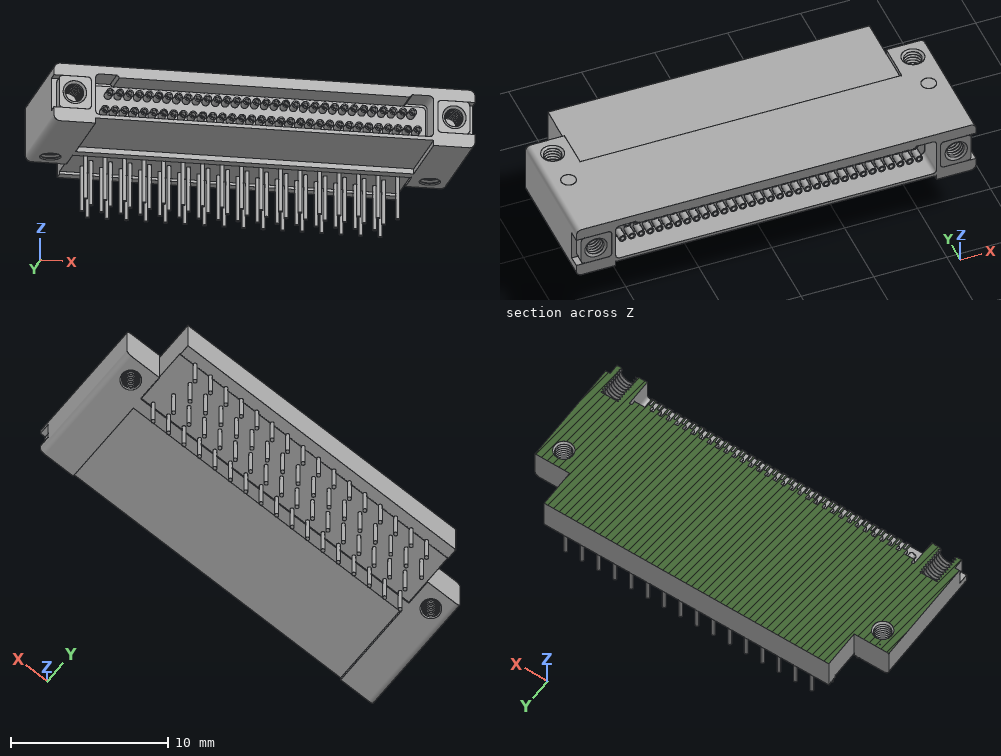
import cadquery as cq
import math


SHELL_LENGTH = 27.41
SHELL_DEPTH = 8.7
SHELL_HEIGHT = 3.86
SHELL_RADIUS = 0.4

CAVITY_LENGTH = 22.0
CAVITY_BOTTOM = 0.58
CAVITY_TOP = 3.3
CAVITY_DEPTH = 2.0
CAVITY_RADIUS = 0.3
KEY_DROP = 0.17
KEY_INSET = 1.38
KEY_CHAMFER = 0.18

BLOCK_GAP = 0.17
BLOCK_BOTTOM = 0.84
BLOCK_TOP = 3.05
BLOCK_RADIUS = 0.25
BLOCK_PROTRUSION = 0.3

PITCH = 0.635
LOWER_COUNT = 33
UPPER_COUNT = 32
LOWER_ROW_Z = 1.29
UPPER_ROW_Z = 2.43
CONTACT_DIAMETER = 0.47
CONTACT_BORE = 0.29
CONTACT_BORE_DEPTH = 0.5
CONTACT_TIP_Y = 0.9

INSERT_LENGTH = 22.05
INSERT_FRONT_Y = 6.04
INSERT_REAR_Y = 11.54
INSERT_STEP = 0.33
INSERT_TOP = SHELL_HEIGHT - INSERT_STEP
FOOT_DEPTH = 0.78
FOOT_HEIGHT = 0.175

LEAD_DIAMETER = 0.254
LEAD_LENGTH = 2.78
LEAD_PITCH = PITCH / 2
LEAD_ROW_PITCH = 2 * PITCH
LEAD_FIRST_ROW_Y = 7.0
LEAD_EMBED = 0.3
LEAD_ROW_ORDER = (0, 2, 1, 3)

NOTCH_HEIGHT = 0.34

END_X = 12.345
THREAD_MAJOR = 1.524
THREAD_MINOR = 1.18
THREAD_PITCH = 0.23
NUT_Z = 1.98
NUT_HEIGHT = 2.14
NUT_DEPTH = 0.78
NUT_INNER_X = 11.27
NUT_OUTER_X = 13.36
NUT_RADIUS = 0.25
NUT_SETBACK = 0.01
NUT_THREAD_TURNS = 10
MOUNT_HOLE_Y = 7.42
PIN_Y = 4.71
PIN_DIAMETER = 1.0
PIN_SETBACK = 0.01


def box(x_min, x_max, y_min, y_max, z_min, z_max):
    size = (x_max - x_min, y_max - y_min, z_max - z_min)
    return cq.Workplane("XY").box(*size, centered=False).translate((x_min, y_min, z_min))


def rounded_bar(x_min, x_max, y_min, y_max, z_min, z_max, radius):
    return box(x_min, x_max, y_min, y_max, z_min, z_max).edges("|Y").fillet(radius)


def thread_cutter(turns):
    """Ringed bore along +Z: one V groove per turn, opening at the major diameter."""
    minor = THREAD_MINOR / 2
    major = THREAD_MAJOR / 2
    profile = [(0, 0), (major, 0)]
    for turn in range(turns):
        start = turn * THREAD_PITCH
        profile.append((minor, start + THREAD_PITCH / 2))
        profile.append((major, start + THREAD_PITCH))
    profile.append((0, turns * THREAD_PITCH))
    return cq.Workplane("XZ").polyline(profile).close().revolve(360, (0, 0, 0), (0, 1, 0))


def make_shell():
    half = SHELL_LENGTH / 2
    shell = rounded_bar(-half, half, 0, SHELL_DEPTH, 0, SHELL_HEIGHT, SHELL_RADIUS)
    half_notch = CAVITY_LENGTH / 2
    notch = box(-half_notch, half_notch, 0, INSERT_FRONT_Y, 0, NOTCH_HEIGHT)
    half_slot = INSERT_LENGTH / 2
    slot = box(-half_slot, half_slot, INSERT_FRONT_Y, SHELL_DEPTH, 0, SHELL_HEIGHT)
    return shell.cut(notch).cut(slot).cut(make_cavity())


def make_cavity():
    """Rounded pocket whose roof is stepped down between the two end corners."""
    half = CAVITY_LENGTH / 2
    cavity = rounded_bar(-half, half, 0, CAVITY_DEPTH, CAVITY_BOTTOM, CAVITY_TOP, CAVITY_RADIUS)
    key_half = half - KEY_INSET
    lower = CAVITY_TOP - KEY_DROP
    key = (
        cq.Workplane("XZ")
        .moveTo(-key_half, CAVITY_TOP)
        .lineTo(key_half, CAVITY_TOP)
        .lineTo(key_half - KEY_CHAMFER, lower)
        .lineTo(-key_half + KEY_CHAMFER, lower)
        .close()
        .extrude(-CAVITY_DEPTH)
    )
    return cavity.cut(key)


def make_contact_block():
    half = CAVITY_LENGTH / 2 - BLOCK_GAP
    front = CAVITY_DEPTH - BLOCK_PROTRUSION
    return rounded_bar(-half, half, front, CAVITY_DEPTH, BLOCK_BOTTOM, BLOCK_TOP, BLOCK_RADIUS)


def row_points(count, z):
    return [((i - (count - 1) / 2) * PITCH, z) for i in range(count)]


def make_contacts():
    points = row_points(LOWER_COUNT, LOWER_ROW_Z) + row_points(UPPER_COUNT, UPPER_ROW_Z)
    tip = cq.Workplane("XZ", origin=(0, CONTACT_TIP_Y, 0)).pushPoints(points)
    tubes = tip.circle(CONTACT_DIAMETER / 2).extrude(CONTACT_TIP_Y - CAVITY_DEPTH)
    bores = tip.circle(CONTACT_BORE / 2).extrude(-CONTACT_BORE_DEPTH)
    return tubes.cut(bores)


def make_insert():
    half = INSERT_LENGTH / 2
    insert = box(-half, half, INSERT_FRONT_Y, INSERT_REAR_Y, 0, INSERT_TOP)
    relief_front = INSERT_FRONT_Y + FOOT_DEPTH
    relief_rear = INSERT_REAR_Y - FOOT_DEPTH
    relief = box(-half, half, relief_front, relief_rear, 0, FOOT_HEIGHT)
    return insert.cut(relief)


def make_leads():
    """One lead per contact, evenly spaced along X and staggered over four rows."""
    count = LOWER_COUNT + UPPER_COUNT
    points = []
    for i in range(count):
        x = (i - (count - 1) / 2) * LEAD_PITCH
        row = LEAD_ROW_ORDER[i % len(LEAD_ROW_ORDER)]
        points.append((x, LEAD_FIRST_ROW_Y + row * LEAD_ROW_PITCH))
    base = cq.Workplane("XY", origin=(0, 0, -LEAD_LENGTH)).pushPoints(points)
    return base.circle(LEAD_DIAMETER / 2).extrude(LEAD_LENGTH + FOOT_HEIGHT + LEAD_EMBED)


def fit_end_hardware(shell, side):
    """Fit the nut and mounting holes at one end; side is -1 for the -X end, +1 for the +X end.

    The nut and the pin sit slightly below the shell faces, so their outlines stay visible.
    """
    z_min = NUT_Z - NUT_HEIGHT / 2
    z_max = NUT_Z + NUT_HEIGHT / 2
    pocket_end = SHELL_LENGTH / 2 + NUT_RADIUS
    pocket = rounded_bar(NUT_INNER_X, pocket_end, 0, NUT_DEPTH, z_min, z_max, NUT_RADIUS)
    nut = rounded_bar(NUT_INNER_X, NUT_OUTER_X, NUT_SETBACK, NUT_DEPTH, z_min, z_max, NUT_RADIUS)
    if side < 0:
        pocket = pocket.mirror("YZ")
        nut = nut.mirror("YZ")
    x = side * END_X
    jackscrew_hole = thread_cutter(NUT_THREAD_TURNS).rotate((0, 0, 0), (1, 0, 0), -90)
    jackscrew_hole = jackscrew_hole.translate((x, NUT_SETBACK, NUT_Z))
    mount_turns = math.ceil(SHELL_HEIGHT / THREAD_PITCH)
    mount_hole = thread_cutter(mount_turns).rotate((0, 0, 0), (1, 0, 0), 180)
    mount_hole = mount_hole.translate((x, MOUNT_HOLE_Y, SHELL_HEIGHT))
    pin_top = cq.Workplane("XY", origin=(x, PIN_Y, SHELL_HEIGHT))
    pin_recess = pin_top.circle(PIN_DIAMETER / 2).extrude(-PIN_SETBACK)
    shell = shell.cut(pocket).union(nut)
    return shell.cut(jackscrew_hole).cut(mount_hole).cut(pin_recess)


connector = make_shell()
for end in (-1, 1):
    connector = fit_end_hardware(connector, end)
connector = connector.union(make_contact_block()).union(make_contacts())
result = connector.union(make_insert().union(make_leads()))